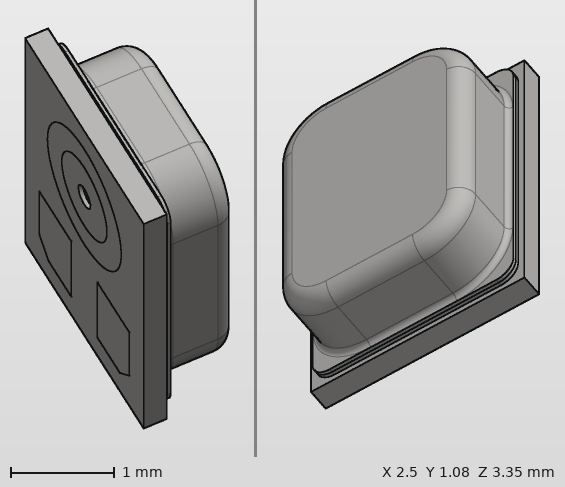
import cadquery as cq

BOARD_WIDTH = 2.5
BOARD_HEIGHT = 3.35
BOARD_THICKNESS = 0.25

CONTACT_MARGIN = 0.3
CONTACT_DEPTH = 0.05
PAD_WIDTH = 0.675
PAD_HEIGHT = 0.905
PAD_CHAMFER = 0.198
RING_WIDTH = 0.3
RING_OUTER_DIAMETER = 1.555
RING_INNER_DIAMETER = RING_OUTER_DIAMETER - 2 * RING_WIDTH

PORT_DIAMETER = 0.25
PORT_DEPTH = 0.05
PORT_Z = BOARD_HEIGHT / 2 - CONTACT_MARGIN - RING_OUTER_DIAMETER / 2

SOLDER_THICKNESS = 0.04
FLANGE_MARGIN = 0.075
FLANGE_WIDTH = BOARD_WIDTH - 2 * FLANGE_MARGIN
FLANGE_HEIGHT = BOARD_HEIGHT - 2 * FLANGE_MARGIN
FLANGE_CORNER_RADIUS = 0.2

TOTAL_DEPTH = 1.08
FLANGE_THICKNESS = 0.04
FLANGE_STEP = 0.07
CAP_WIDTH = FLANGE_WIDTH - 2 * FLANGE_STEP
CAP_HEIGHT = FLANGE_HEIGHT - 2 * FLANGE_STEP
CAP_CORNER_RADIUS = 0.6
CAP_EDGE_RADIUS = 0.2
CAP_FOOT_RADIUS = 0.06

SOLDER_Y = BOARD_THICKNESS
FLANGE_Y = SOLDER_Y + SOLDER_THICKNESS
CAP_Y = FLANGE_Y + FLANGE_THICKNESS


def plane_at(y):
    """Plane facing +Y at the given depth, with local x along -X and local y along +Z."""
    return cq.Workplane(cq.Plane(origin=(0, y, 0), xDir=(-1, 0, 0), normal=(0, 1, 0)))


def rounded_block(y, width, height, depth, corner_radius):
    """Rectangular block rising from y along +Y, with its four corners rounded."""
    return plane_at(y).rect(width, height).extrude(depth).edges("|Y").fillet(corner_radius)


def make_pad(side):
    """Solder pad with its lower outer corner cut off; side is -1 for -X, +1 for +X."""
    outer = BOARD_WIDTH / 2 - CONTACT_MARGIN
    inner = outer - PAD_WIDTH
    bottom = CONTACT_MARGIN - BOARD_HEIGHT / 2
    top = bottom + PAD_HEIGHT
    corners = [
        (inner, bottom),
        (outer - PAD_CHAMFER, bottom),
        (outer, bottom + PAD_CHAMFER),
        (outer, top),
        (inner, top),
    ]
    outline = [(-side * x, z) for x, z in corners]
    return plane_at(0).polyline(outline).close().extrude(CONTACT_DEPTH)


def make_ring():
    """Ring contact around the sound port."""
    return (
        plane_at(0)
        .center(0, PORT_Z)
        .circle(RING_OUTER_DIAMETER / 2)
        .circle(RING_INNER_DIAMETER / 2)
        .extrude(CONTACT_DEPTH)
    )


def make_board(contacts):
    """Board with the sound port and a matching recess for every contact."""
    board = plane_at(0).rect(BOARD_WIDTH, BOARD_HEIGHT).extrude(BOARD_THICKNESS)
    port = plane_at(0).center(0, PORT_Z).circle(PORT_DIAMETER / 2).extrude(PORT_DEPTH)
    board = board.cut(port)
    for contact in contacts:
        board = board.cut(contact)
    return board


def make_solder():
    """Thin layer with the same outline as the lid flange."""
    return rounded_block(SOLDER_Y, FLANGE_WIDTH, FLANGE_HEIGHT, SOLDER_THICKNESS, FLANGE_CORNER_RADIUS)


def make_lid():
    """Flanged lid: rounded back edge, and a concave fillet where the cap meets the flange."""
    flange = rounded_block(FLANGE_Y, FLANGE_WIDTH, FLANGE_HEIGHT, FLANGE_THICKNESS, FLANGE_CORNER_RADIUS)
    cap = rounded_block(CAP_Y, CAP_WIDTH, CAP_HEIGHT, TOTAL_DEPTH - CAP_Y, CAP_CORNER_RADIUS)
    cap = cap.faces(">Y").edges().fillet(CAP_EDGE_RADIUS)
    reach = FLANGE_STEP / 2
    box_x = CAP_WIDTH / 2 + reach
    box_z = CAP_HEIGHT / 2 + reach
    foot_edges = cq.selectors.BoxSelector(
        (-box_x, CAP_Y - reach, -box_z),
        (box_x, CAP_Y + reach, box_z),
        boundingbox=True,
    )
    return flange.union(cap).edges(foot_edges).fillet(CAP_FOOT_RADIUS)


pads = [make_pad(side) for side in (-1, 1)]
ring = make_ring()
board = make_board([*pads, ring])
solder = make_solder()
lid = make_lid()

result = cq.Compound.makeCompound(
    [board.val(), ring.val(), solder.val(), lid.val(), *[pad.val() for pad in pads]]
)